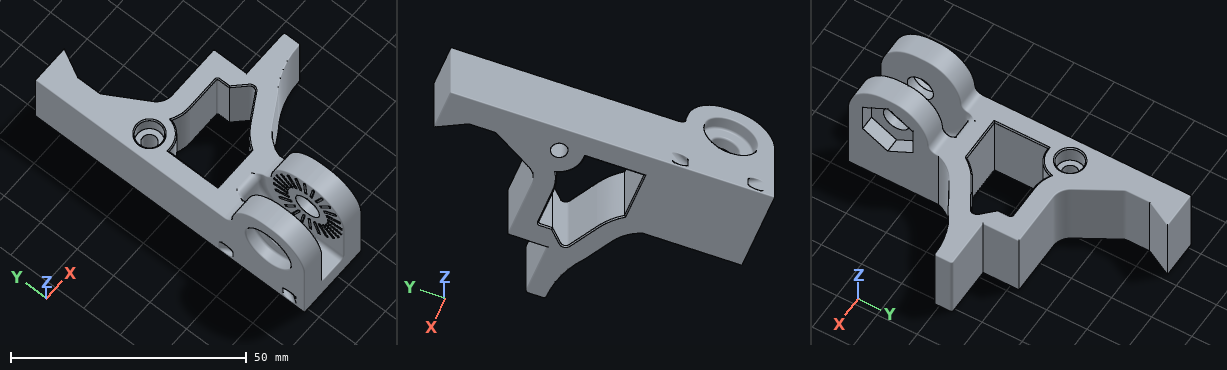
import cadquery as cq
import math

LENGTH = 74.02
REACH = 42.41
HEIGHT = 27.55
PLATE_TOP = 16.9
EDGE_BREAK = 0.3
TIP_FILLET = 0.65

CLEVIS_WIDTH = 19.15
CLEVIS_DEPTH = 20.15
CLEVIS_CORNER = 9.25
CLEVIS_FOOT_FILLET = 2.0
SLOT_LEFT = 5.9
SLOT_RIGHT = 13.2
SLOT_FLOOR = 5.6
SLOT_REAR_RADIUS = 9.15
SLOT_REAR_Y = 22.4
SLOT_CORNER_FILLET = 1.2
SLOT_LIP_FILLET = 2.0
SLOT_RIM_FILLET = 0.3
SLOT_OVERRUN = 1.0

PIVOT_Y = 10.0
PIVOT_Z = 17.45
BOLT_HOLE_DIA = 6.5
BOLT_HEAD_DIA = 12.3
BOLT_HEAD_DEPTH = 3.1
BOLT_EDGE_FILLET = 0.5
BOLT_MOUTH_FILLET = 0.35
BOLT_FLOOR_FILLET = 0.6
NUT_ACROSS_FLATS = 12.5
NUT_DEPTH = 3.6

TOOTH_COUNT = 24
TOOTH_PHASE = -5.0
TOOTH_INNER_RADIUS = 5.5
TOOTH_OUTER_RADIUS = 9.4
TOOTH_WIDTH = 0.6
TOOTH_DEPTH = 0.3

WALL = 5.0
SPINE_WIDTH = 5.05
NECK_X = 6.4
NECK_TOP_Y = 67.4
NECK_BOTTOM_Y = 61.3
NECK_FILLET = 1.5
HORN_X = 9.9
FLANK_ANGLE = math.radians(60)
SHELF_Y = 49.3
SHELF_X = 29.85
SHELF_FILLET = 4.3
TONGUE_TOP_Y = 40.35
TONGUE_TIP_Y = 35.65
TONGUE_ARC_RISE = 1.15
BRACE_START_Y = 22.6
BRACE_ANGLE = math.radians(30)
BRACE_MIDDLE_ANGLE = math.radians(140)
BRACE_RADIUS = 9.8
BRACE_LOW_X = 23.5
BRACE_LOW_Y = 27.95
BRACE_HIGH_X = 29.8

BRACE_CENTRE_X = BRACE_LOW_X + BRACE_RADIUS * math.sin(BRACE_ANGLE)
BRACE_CENTRE_Y = BRACE_LOW_Y - BRACE_RADIUS * math.cos(BRACE_ANGLE)
FLANK_FOOT_X = NECK_X + (NECK_BOTTOM_Y - SHELF_Y) / math.tan(FLANK_ANGLE)

WINDOW_FRONT_Y = 27.95
WINDOW_STEP_Y = 41.0
WINDOW_NOSE_FILLET = 1.2
WINDOW_CORNER_FILLET = 0.4

SCREW_X = 5.55
SCREW_Y = 47.1
SCREW_DIA = 3.7
SCREW_HEAD_DIA = 6.5
SCREW_HEAD_DEPTH = 4.0
SCREW_WALL_RADIUS = 5.8

TIE_MID_Y = 12.95
TIE_MID_Z = 2.75
TIE_AXIS_X = -13.1
TIE_RADIUS = 15.97
TIE_WIDTH = 3.9
TIE_THICKNESS = 1.8
TIE_RIM_FILLET = 0.2

PROBE = 0.01
EDGE_REACH = 0.2


def point_on_circle(centre_x, centre_y, radius, angle):
    return (centre_x + radius * math.cos(angle), centre_y + radius * math.sin(angle))


def box_around(low, high):
    """Selector for whatever lies entirely inside the box, with a small margin."""
    padded_low = tuple(value - PROBE for value in low)
    padded_high = tuple(value + PROBE for value in high)
    return cq.selectors.BoxSelector(padded_low, padded_high, boundingbox=True)


def edges_without(edges, unwanted):
    return [e for e in edges if not any(e.isSame(other) for other in unwanted)]


def edge_near(solid, x, y):
    """The vertical edge of the solid standing at (x, y)."""
    low = (x - EDGE_REACH, y - EDGE_REACH, -EDGE_REACH)
    high = (x + EDGE_REACH, y + EDGE_REACH, HEIGHT + EDGE_REACH)
    return solid.edges("|Z").edges(cq.selectors.BoxSelector(low, high))


def fillet_vertical(solid, x, y, radius):
    return edge_near(solid, x, y).fillet(radius)


def plan_outline():
    """Solid of the whole plan outline, taken to the full height."""
    brace_high_y = BRACE_LOW_Y + (BRACE_HIGH_X - BRACE_LOW_X) * math.tan(BRACE_ANGLE)
    root_middle = point_on_circle(BRACE_CENTRE_X, BRACE_CENTRE_Y, BRACE_RADIUS, BRACE_MIDDLE_ANGLE)
    solid = (
        cq.Workplane("XY")
        .lineTo(CLEVIS_WIDTH, 0)
        .lineTo(CLEVIS_WIDTH, BRACE_START_Y)
        .threePointArc(root_middle, (BRACE_LOW_X, BRACE_LOW_Y))
        .lineTo(BRACE_HIGH_X, brace_high_y)
        .sagittaArc((REACH, TONGUE_TIP_Y), TONGUE_ARC_RISE)
        .lineTo(REACH, TONGUE_TOP_Y)
        .lineTo(SHELF_X, TONGUE_TOP_Y)
        .lineTo(SHELF_X, SHELF_Y)
        .lineTo(FLANK_FOOT_X, SHELF_Y)
        .lineTo(NECK_X, NECK_BOTTOM_Y)
        .lineTo(NECK_X, NECK_TOP_Y)
        .lineTo(HORN_X, LENGTH)
        .lineTo(0, LENGTH)
        .close()
        .extrude(HEIGHT)
    )
    solid = fillet_vertical(solid, FLANK_FOOT_X, SHELF_Y, SHELF_FILLET)
    solid = fillet_vertical(solid, NECK_X, NECK_BOTTOM_Y, NECK_FILLET)
    for y in (TONGUE_TIP_Y, TONGUE_TOP_Y):
        solid = fillet_vertical(solid, REACH, y, TIP_FILLET)
    return solid


def side_envelope():
    """Side profile: low plate with the round-topped clevis at the front."""
    corner_y = CLEVIS_DEPTH - CLEVIS_CORNER
    corner_z = HEIGHT - CLEVIS_CORNER
    foot_z = PLATE_TOP + CLEVIS_FOOT_FILLET
    centre_distance = CLEVIS_CORNER + CLEVIS_FOOT_FILLET
    foot_y = corner_y + math.sqrt(centre_distance ** 2 - (foot_z - corner_z) ** 2)
    share = CLEVIS_CORNER / centre_distance
    touch = (corner_y + share * (foot_y - corner_y), corner_z + share * (foot_z - corner_z))
    profile = (
        cq.Workplane("YZ")
        .lineTo(LENGTH, 0)
        .lineTo(LENGTH, PLATE_TOP)
        .lineTo(foot_y, PLATE_TOP)
        .tangentArcPoint(touch, relative=False)
        .tangentArcPoint((corner_y, HEIGHT), relative=False)
        .lineTo(CLEVIS_CORNER, HEIGHT)
        .tangentArcPoint((0, corner_z), relative=False)
        .close()
    )
    return profile.extrude(REACH)


def break_outer_edges(solid):
    """Round the bottom rim, the spine side, the plate top rim and the far clevis cheek."""
    cheek = box_around((CLEVIS_WIDTH, 0, 0), (CLEVIS_WIDTH, BRACE_START_Y, HEIGHT))
    plate_level = cq.selectors.BoxSelector(
        (0, 0, PLATE_TOP - PROBE), (REACH, LENGTH, PLATE_TOP + PROBE)
    )
    plate_top = solid.faces("|Z").faces(plate_level)
    edges = solid.faces("<X or <Z").edges().add(plate_top.edges()).add(solid.edges(cheek))
    seam = plate_top.edges("<Y")
    inner_corner = edge_near(solid, CLEVIS_WIDTH, BRACE_START_Y)
    chosen = edges_without(edges.vals(), seam.vals() + inner_corner.vals())
    return solid.newObject(chosen).fillet(EDGE_BREAK)


def window():
    """Cutter for the opening in the plate, one wall thickness inside the plan outline."""
    top_y = SHELF_Y - WALL
    right_x = SHELF_X - WALL
    inner_radius = BRACE_RADIUS + WALL
    start_angle = math.pi - math.asin((WINDOW_FRONT_Y - BRACE_CENTRE_Y) / inner_radius)
    end_angle = math.pi / 2 + BRACE_ANGLE
    brace_start, brace_middle, brace_end = (
        point_on_circle(BRACE_CENTRE_X, BRACE_CENTRE_Y, inner_radius, angle)
        for angle in (start_angle, (start_angle + end_angle) / 2, end_angle)
    )
    slope = math.tan(BRACE_ANGLE)
    nose_x = (right_x + WINDOW_STEP_Y - brace_end[1] + slope * brace_end[0]) / (1 + slope)
    nose_y = right_x + WINDOW_STEP_Y - nose_x
    curl_x = FLANK_FOOT_X + SHELF_FILLET * math.tan(FLANK_ANGLE / 2)
    curl_y = SHELF_Y + SHELF_FILLET
    curl_middle, curl_end = (
        point_on_circle(curl_x, curl_y, SHELF_FILLET + WALL, -math.pi / 2 - turn)
        for turn in (FLANK_ANGLE / 2, FLANK_ANGLE)
    )
    opening = (
        cq.Workplane("XY")
        .moveTo(SPINE_WIDTH, WINDOW_FRONT_Y)
        .lineTo(*brace_start)
        .threePointArc(brace_middle, brace_end)
        .lineTo(nose_x, nose_y)
        .lineTo(right_x, WINDOW_STEP_Y)
        .lineTo(right_x, top_y)
        .lineTo(curl_x, top_y)
        .threePointArc(curl_middle, curl_end)
        .lineTo(SPINE_WIDTH, curl_end[1])
        .close()
        .extrude(PLATE_TOP)
    )
    opening = fillet_vertical(opening, nose_x, nose_y, WINDOW_NOSE_FILLET)
    opening = fillet_vertical(opening, right_x, top_y, WINDOW_CORNER_FILLET)
    screw_wall = (
        cq.Workplane("XY")
        .center(SCREW_X, SCREW_Y)
        .circle(SCREW_WALL_RADIUS)
        .extrude(PLATE_TOP)
    )
    spine_step = (
        cq.Workplane("XY")
        .box(SCREW_X, SCREW_WALL_RADIUS, PLATE_TOP, centered=False)
        .translate((0, SCREW_Y - SCREW_WALL_RADIUS, 0))
    )
    return opening.cut(screw_wall).cut(spine_step)


def cut_window(solid):
    """Cut the window and bevel its rims at the bottom and top of the plate."""
    opening = window()
    rim = cq.Workplane("XY").add(opening.faces("<Z").wires().val()).toPending()
    bottom_bevel = rim.offset2D(EDGE_BREAK, "intersection").extrude(EDGE_BREAK, taper=45)
    top_bevel = bottom_bevel.mirror("XY", (0, 0, PLATE_TOP / 2))
    return solid.cut(opening).cut(bottom_bevel).cut(top_bevel)


def slot():
    """Cutter for the clevis slot: flat floor, curved rear and a flared lip, with rounded corners."""
    lip_y = SLOT_REAR_Y + SLOT_LIP_FILLET
    cutter = (
        cq.Workplane("YZ", origin=(SLOT_LEFT, 0, 0))
        .moveTo(-SLOT_OVERRUN, SLOT_FLOOR)
        .lineTo(SLOT_REAR_Y - SLOT_REAR_RADIUS, SLOT_FLOOR)
        .tangentArcPoint((SLOT_REAR_Y, SLOT_FLOOR + SLOT_REAR_RADIUS), relative=False)
        .lineTo(SLOT_REAR_Y, PLATE_TOP - SLOT_LIP_FILLET)
        .tangentArcPoint((lip_y, PLATE_TOP), relative=False)
        .lineTo(lip_y, HEIGHT + SLOT_OVERRUN)
        .lineTo(-SLOT_OVERRUN, HEIGHT + SLOT_OVERRUN)
        .close()
        .extrude(SLOT_RIGHT - SLOT_LEFT)
    )
    wall_edges = cutter.faces("<X or >X").edges().vals()
    open_edges = cutter.faces(">Z or <Y or >Y").edges().vals()
    floor_chain = edges_without(wall_edges, open_edges)
    return cutter.newObject(floor_chain).fillet(SLOT_CORNER_FILLET)


def cut_slot(solid):
    """Cut the slot and round its whole rim."""
    solid = solid.cut(slot())
    slot_space = box_around(
        (SLOT_LEFT, 0, 0), (SLOT_RIGHT, SLOT_REAR_Y + SLOT_LIP_FILLET, HEIGHT)
    )
    borders = {}
    for face in solid.faces(slot_space).vals():
        for edge in face.Edges():
            borders.setdefault(edge.hashCode(), []).append(edge)
    rim = [edges[0] for edges in borders.values() if len(edges) == 1]
    return solid.newObject(rim).fillet(SLOT_RIM_FILLET)


def pivot_cylinder(length, diameter):
    """Cylinder on the pivot axis, starting at the spine side."""
    plane = cq.Workplane("YZ", origin=(0, PIVOT_Y, PIVOT_Z))
    return plane.circle(diameter / 2).extrude(length)


def cut_pivot(solid):
    """Bolt hole through both arms, head recess in the spine side and nut recess in the far side."""
    head = pivot_cylinder(BOLT_HEAD_DEPTH, BOLT_HEAD_DIA)
    head = head.faces(">X").edges().fillet(BOLT_FLOOR_FILLET)
    nut = (
        cq.Workplane("YZ", origin=(CLEVIS_WIDTH - NUT_DEPTH, PIVOT_Y, PIVOT_Z))
        .transformed(rotate=(0, 0, 90))
        .polygon(6, NUT_ACROSS_FLATS / math.cos(math.pi / 6))
        .extrude(NUT_DEPTH)
    )
    solid = solid.cut(head)
    solid = solid.cut(pivot_cylinder(CLEVIS_WIDTH, BOLT_HOLE_DIA))
    solid = solid.cut(nut)
    head_rim = (0, BOLT_HEAD_DIA / 2, BOLT_MOUTH_FILLET)
    hole_rim = (BOLT_HEAD_DEPTH, BOLT_HOLE_DIA / 2, BOLT_EDGE_FILLET)
    for x, radius, fillet in (head_rim, hole_rim):
        rim = box_around(
            (x, PIVOT_Y - radius, PIVOT_Z - radius), (x, PIVOT_Y + radius, PIVOT_Z + radius)
        )
        solid = solid.edges("%CIRCLE").edges(rim).fillet(fillet)
    return solid


def cut_teeth(solid):
    """Radial V grooves in the slot face of the far arm."""
    groove = (
        cq.Workplane("XY", origin=(SLOT_RIGHT, PIVOT_Y, PIVOT_Z + TOOTH_INNER_RADIUS))
        .moveTo(0, -TOOTH_WIDTH / 2)
        .lineTo(TOOTH_DEPTH, 0)
        .lineTo(0, TOOTH_WIDTH / 2)
        .close()
        .extrude(TOOTH_OUTER_RADIUS - TOOTH_INNER_RADIUS)
    )
    axis_start = (0, PIVOT_Y, PIVOT_Z)
    axis_end = (1, PIVOT_Y, PIVOT_Z)
    for i in range(TOOTH_COUNT):
        angle = TOOTH_PHASE + i * 360 / TOOTH_COUNT
        solid = solid.cut(groove.rotate(axis_start, axis_end, angle))
    return solid


def cut_screw(solid):
    """Vertical screw hole with a bevelled head recess from the top."""
    axis = cq.Workplane("XY").center(SCREW_X, SCREW_Y)
    recess_floor = axis.workplane(offset=PLATE_TOP - SCREW_HEAD_DEPTH)
    bevel_start = axis.workplane(offset=PLATE_TOP - EDGE_BREAK)
    shank = axis.circle(SCREW_DIA / 2).extrude(PLATE_TOP)
    recess = recess_floor.circle(SCREW_HEAD_DIA / 2).extrude(SCREW_HEAD_DEPTH)
    bevel = bevel_start.circle(SCREW_HEAD_DIA / 2).extrude(EDGE_BREAK, taper=-45)
    return solid.cut(shank).cut(recess).cut(bevel)


def cut_tie_tunnel(solid):
    """Curved tunnel of rounded section that enters and leaves through the spine side."""
    tunnel = (
        cq.Workplane("XZ", origin=(TIE_AXIS_X, TIE_MID_Y, TIE_MID_Z))
        .center(TIE_RADIUS, 0)
        .slot2D(TIE_WIDTH, TIE_THICKNESS, 90)
        .revolve(360, (-TIE_RADIUS, 0, 0), (-TIE_RADIUS, 1, 0))
    )
    solid = solid.cut(tunnel)
    mouths = cq.selectors.BoxSelector(
        (-PROBE, 0, PROBE), (PROBE, 2 * TIE_MID_Y, 2 * TIE_MID_Z - PROBE), boundingbox=True
    )
    return solid.edges(mouths).fillet(TIE_RIM_FILLET)


body = plan_outline().intersect(side_envelope())
body = break_outer_edges(body)
body = cut_window(body)
body = cut_slot(body)
body = cut_pivot(body)
body = cut_teeth(body)
body = cut_screw(body)
result = cut_tie_tunnel(body)